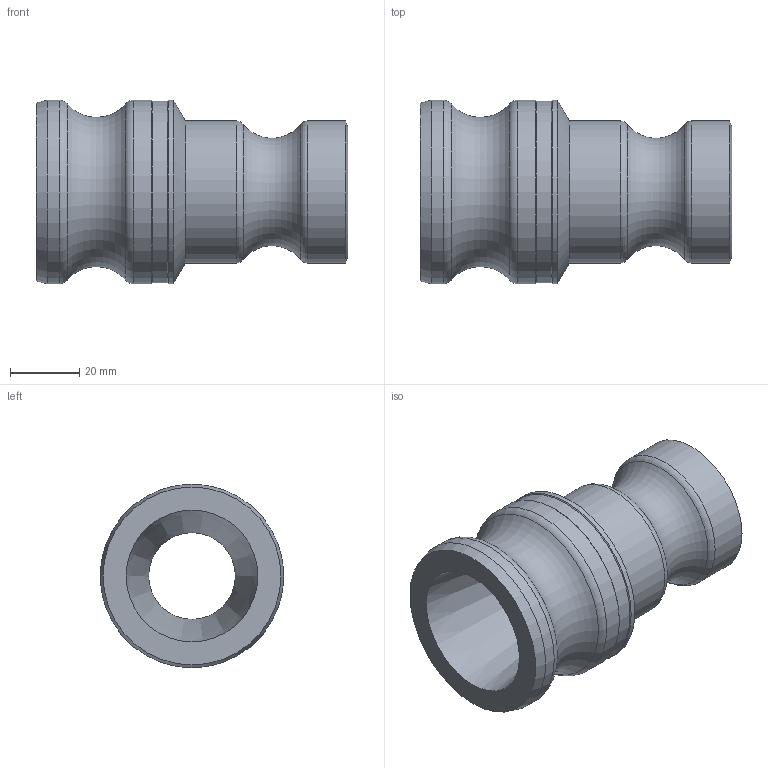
import cadquery as cq
import math

total_length = 90.0
large_radius = 53.0 / 2
small_radius = 41.0 / 2

lead_in_length = 3.2
lead_in_depth = 0.85

groove_depth = 4.97
large_groove_x = 17.4
large_groove_arc = 11.0
large_shoulder_arc = 3.0
small_groove_x = 68.05
small_groove_arc = 10.6
small_shoulder_arc = 2.5

band_radius = 52.5 / 2
band_start = 33.3
band_end = 38.1
band_wall_length = 0.25

step_start = 39.6
step_end = 43.05

end_chamfer_length = 0.7
end_chamfer_depth = 1.9

bore_entry_radius = 38.0 / 2
bore_radius = 25.0 / 2
bore_taper_length = 37.0


def add_cam_groove(profile, center_x, body_radius, groove_arc, shoulder_arc):
    """Draw a groove with a concave arc blended tangentially into two convex shoulders."""
    groove_center_r = body_radius - groove_depth + groove_arc
    shoulder_center_r = body_radius - shoulder_arc
    center_rise = groove_center_r - shoulder_center_r
    blend_angle = math.acos(center_rise / (groove_arc + shoulder_arc))
    shoulder_offset = (groove_arc + shoulder_arc) * math.sin(blend_angle)

    def shoulder_point(side, angle):
        x = center_x + side * (shoulder_offset - shoulder_arc * math.sin(angle))
        return (x, shoulder_center_r + shoulder_arc * math.cos(angle))

    left, right = -1, 1
    return (
        profile.lineTo(*shoulder_point(left, 0))
        .threePointArc(shoulder_point(left, blend_angle / 2), shoulder_point(left, blend_angle))
        .threePointArc((center_x, body_radius - groove_depth), shoulder_point(right, blend_angle))
        .threePointArc(shoulder_point(right, blend_angle / 2), shoulder_point(right, 0))
    )


def revolve_about_x(profile):
    return profile.close().revolve(360, (0, 0, 0), (1, 0, 0))


def make_body():
    profile = (
        cq.Workplane("XY")
        .lineTo(0, large_radius - lead_in_depth)
        .lineTo(lead_in_length, large_radius)
    )
    profile = add_cam_groove(
        profile, large_groove_x, large_radius, large_groove_arc, large_shoulder_arc
    )
    profile = (
        profile.lineTo(band_start, large_radius)
        .lineTo(band_start + band_wall_length, band_radius)
        .lineTo(band_end - band_wall_length, band_radius)
        .lineTo(band_end, large_radius)
        .lineTo(step_start, large_radius)
        .lineTo(step_end, small_radius)
    )
    profile = add_cam_groove(
        profile, small_groove_x, small_radius, small_groove_arc, small_shoulder_arc
    )
    profile = (
        profile.lineTo(total_length - end_chamfer_length, small_radius)
        .lineTo(total_length, small_radius - end_chamfer_depth)
        .lineTo(total_length, 0)
    )
    return revolve_about_x(profile)


def make_bore():
    profile = (
        cq.Workplane("XY")
        .lineTo(0, bore_entry_radius)
        .lineTo(bore_taper_length, bore_radius)
        .lineTo(total_length, bore_radius)
        .lineTo(total_length, 0)
    )
    return revolve_about_x(profile)


result = make_body().cut(make_bore())